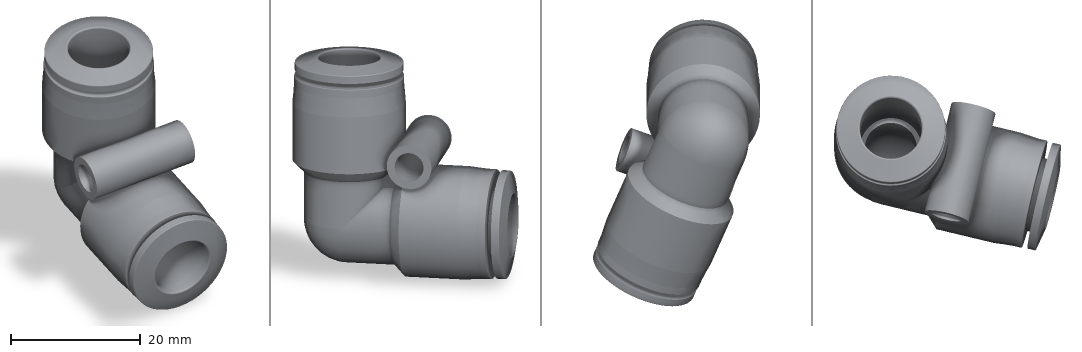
import cadquery as cq

overall_length = 34.4
body_diameter = 17.5
body_radius = body_diameter / 2
arm_length = overall_length - body_radius

elbow_radius = 14.0 / 2
passage_radius = 8.0 / 2
socket_radius = 9.53 / 2

shoulder_start = 7.57
shoulder_end = shoulder_start + body_radius - elbow_radius
taper_start = 18.45
taper_end = 21.43
body_end = 22.77
flange_start = 23.7
flange_edge = 24.97

sleeve_end_radius = 17.0 / 2
sleeve_end_round = 0.1
collar_radius = 11.52 / 2
collar_root_round = 0.2
flange_radius = 16.8 / 2
flange_edge_round = 0.17
mouth_round = 0.28

eyelet_position = 10.97
eyelet_radius = 7.0 / 2
eyelet_hole_radius = 4.5 / 2
web_thickness = 7.22


def make_arm():
    """Solid arm along Z: neck, shoulder, tapered sleeve and release collar."""
    sleeve = (
        cq.Workplane("XZ")
        .lineTo(elbow_radius, 0)
        .lineTo(elbow_radius, shoulder_start)
        .lineTo(body_radius, shoulder_end)
        .lineTo(body_radius, taper_start)
        .lineTo(sleeve_end_radius, taper_end)
        .lineTo(sleeve_end_radius, body_end)
        .lineTo(0, body_end)
        .close()
        .revolve(360, (0, 0), (0, 1))
        .faces(">Z")
        .edges()
        .fillet(sleeve_end_round)
    )
    mouth_radius = socket_radius + mouth_round
    collar = (
        cq.Workplane("XZ", origin=(0, 0, body_end))
        .lineTo(collar_radius, 0)
        .lineTo(collar_radius, flange_start - body_end - collar_root_round)
        .radiusArc(
            (collar_radius + collar_root_round, flange_start - body_end), collar_root_round
        )
        .lineTo(flange_radius, flange_start - body_end)
        .lineTo(flange_radius, flange_edge - body_end - flange_edge_round)
        .radiusArc(
            (flange_radius - flange_edge_round, flange_edge - body_end), -flange_edge_round
        )
        .lineTo(mouth_radius, arm_length - body_end)
        .lineTo(0, arm_length - body_end)
        .close()
        .revolve(360, (0, 0), (0, 1))
    )
    return sleeve.union(collar)


def make_bore():
    """Stepped bore along Z with a rounded mouth."""
    return (
        cq.Workplane("XZ")
        .lineTo(passage_radius, 0)
        .lineTo(passage_radius, shoulder_end)
        .lineTo(socket_radius, shoulder_end)
        .lineTo(socket_radius, arm_length - mouth_round)
        .radiusArc((socket_radius + mouth_round, arm_length), mouth_round)
        .lineTo(0, arm_length)
        .close()
        .revolve(360, (0, 0), (0, 1))
    )


def make_elbow(branch, corner_radius):
    """Join a Z branch and its copy along X around a spherical corner."""
    side_branch = branch.rotate((0, 0, 0), (0, 1, 0), 90)
    return cq.Workplane("XY").sphere(corner_radius).union(branch).union(side_branch)


def make_eyelet_cylinder(radius):
    """Cylinder along Y at the eyelet, as long as the body is wide."""
    return (
        cq.Workplane("XZ", origin=(0, body_radius, 0))
        .center(eyelet_position, eyelet_position)
        .circle(radius)
        .extrude(body_diameter)
    )


web = cq.Workplane("XY").box(
    eyelet_position, web_thickness, eyelet_position, centered=(False, True, False)
)

result = (
    make_elbow(make_arm(), elbow_radius)
    .union(web)
    .union(make_eyelet_cylinder(eyelet_radius))
    .cut(make_elbow(make_bore(), passage_radius))
    .cut(make_eyelet_cylinder(eyelet_hole_radius))
)